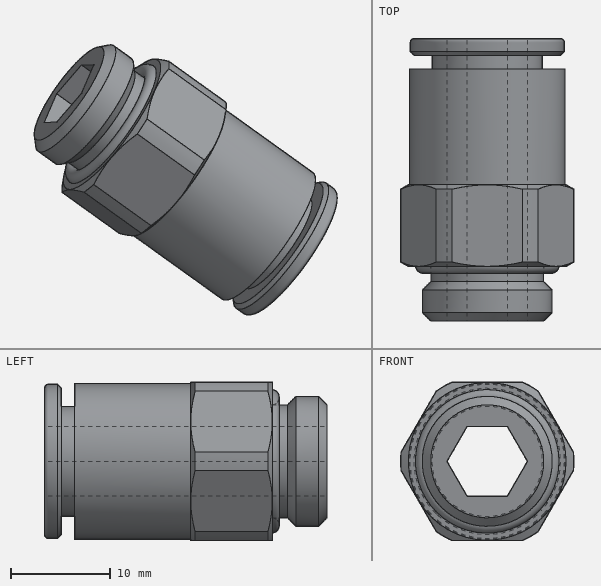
import cadquery as cq
import math

total_length = 28.5

thread_radius = 6.55
thread_chamfer = 0.85
thread_root_radius = thread_radius - thread_chamfer
thread_end = 4.0

seal_crest = 4.82
seal_radius = 7.25

nut_start = 5.5
nut_end = 13.77
nut_across_flats = 16.0
nut_corner_radius = 8.75
nut_face_radius = 7.95
nut_chamfer_angle = 30.0

sleeve_radius = 7.87
sleeve_end = 25.45
collar_neck_radius = 5.55
collar_radius = 7.78
collar_start = 26.8
collar_chamfer = 0.4
collar_rounding = 0.4

socket_across_flats = 7.0


def revolve_about_y(profile):
    """Turn a closed (radius, Y) profile around the Y axis."""
    return profile.close().revolve(360, (0, 0, 0), (0, 1, 0))


def cylinder(radius, start, end):
    profile = cq.Workplane("XY").moveTo(0, start).lineTo(radius, start).lineTo(radius, end).lineTo(0, end)
    return revolve_about_y(profile)


def hexagon(across_flats, start, end):
    """Hexagonal prism along Y with two corners on the X axis."""
    across_corners = across_flats / math.cos(math.radians(30))
    plane = cq.Workplane("XZ", origin=(0, start, 0))
    return plane.polygon(6, across_corners).extrude(start - end)


def make_thread():
    body = cylinder(thread_radius, 0, thread_end)
    return body.faces("<Y or >Y").chamfer(thread_chamfer)


def make_seal():
    """Half-round ring lying on the nut face, between the neck and the seal radius."""
    crest_radius = (thread_root_radius + seal_radius) / 2
    profile = (
        cq.Workplane("XY")
        .moveTo(thread_root_radius, nut_start)
        .threePointArc((crest_radius, seal_crest), (seal_radius, nut_start))
    )
    return revolve_about_y(profile)


def make_nut():
    chamfer_width = nut_corner_radius - nut_face_radius
    chamfer_length = chamfer_width * math.tan(math.radians(nut_chamfer_angle))
    blank = revolve_about_y(
        cq.Workplane("XY")
        .moveTo(0, nut_start)
        .lineTo(nut_face_radius, nut_start)
        .lineTo(nut_corner_radius, nut_start + chamfer_length)
        .lineTo(nut_corner_radius, nut_end - chamfer_length)
        .lineTo(nut_face_radius, nut_end)
        .lineTo(0, nut_end)
    )
    return blank.intersect(hexagon(nut_across_flats, nut_start, nut_end))


def make_collar():
    disc = cylinder(collar_radius, collar_start, total_length)
    disc = disc.faces("<Y").chamfer(collar_chamfer)
    return disc.faces(">Y").edges().fillet(collar_rounding)


thread_neck = cylinder(thread_root_radius, thread_end, nut_start)
sleeve = cylinder(sleeve_radius, nut_end, sleeve_end)
collar_neck = cylinder(collar_neck_radius, sleeve_end, collar_start)

result = make_thread()
for section in (thread_neck, make_seal(), make_nut(), sleeve, collar_neck, make_collar()):
    result = result.union(section)
result = result.cut(hexagon(socket_across_flats, 0, total_length))